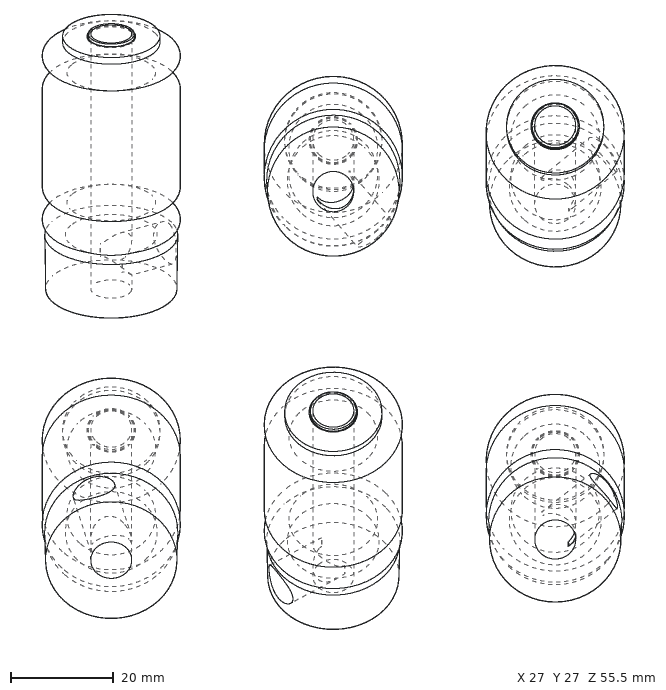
import cadquery as cq
import math

total_height = 55.5
disc_top = 55.05
disc_bottom = 53.6
upper_rib_z = 50.7
upper_neck_z = 47.05
body_top_rib_z = 43.5
body_bottom_rib_z = 22.3
lower_neck_z = 18.8
lower_rib_z = 15.15
sleeve_top = 11.75

outer_diameter = 27.0
neck_diameter = 17.3
disc_diameter = 19.0
tube_diameter = 9.0
recess_diameter = 9.45
bore_diameter = 8.0
sleeve_top_diameter = 26.0
sleeve_bottom_diameter = 25.65
side_hole_diameter = 8.5

rib_round = 1.55
neck_round = 0.5
flank_angle = 24.0
recess_depth = 0.2
side_hole_z = 6.75

outer_radius = outer_diameter / 2
neck_radius = neck_diameter / 2
disc_radius = disc_diameter / 2
flank_sin = math.sin(math.radians(flank_angle))
flank_cos = math.cos(math.radians(flank_angle))


def crest_tangent(crest_z, side):
    """Point where a rib crest meets its flank; side is +1 above, -1 below."""
    return (outer_radius - rib_round * (1 - flank_sin), crest_z + side * rib_round * flank_cos)


def neck_tangent(neck_z, side):
    """Point where a neck fillet meets its flank; side is +1 above, -1 below."""
    return (neck_radius + neck_round * (1 - flank_sin), neck_z + side * neck_round * flank_cos)


def quarter_crest_mid(crest_z, side):
    """Middle of the arc between a crest and its flank."""
    half_sweep = math.radians(90 - flank_angle) / 2
    radius = outer_radius - rib_round * (1 - math.cos(half_sweep))
    return (radius, crest_z + side * rib_round * math.sin(half_sweep))


def rubber_body():
    profile = (
        cq.Workplane("XZ")
        .moveTo(0, sleeve_top)
        .lineTo(neck_tangent(lower_neck_z, 1)[0], sleeve_top)
        .lineTo(*crest_tangent(lower_rib_z, -1))
        .threePointArc((outer_radius, lower_rib_z), crest_tangent(lower_rib_z, 1))
        .lineTo(*neck_tangent(lower_neck_z, -1))
        .threePointArc((neck_radius, lower_neck_z), neck_tangent(lower_neck_z, 1))
        .lineTo(*crest_tangent(body_bottom_rib_z, -1))
        .threePointArc(quarter_crest_mid(body_bottom_rib_z, -1), (outer_radius, body_bottom_rib_z))
        .lineTo(outer_radius, body_top_rib_z)
        .threePointArc(quarter_crest_mid(body_top_rib_z, 1), crest_tangent(body_top_rib_z, 1))
        .lineTo(*neck_tangent(upper_neck_z, -1))
        .threePointArc((neck_radius, upper_neck_z), neck_tangent(upper_neck_z, 1))
        .lineTo(*crest_tangent(upper_rib_z, -1))
        .threePointArc((outer_radius, upper_rib_z), crest_tangent(upper_rib_z, 1))
        .lineTo(disc_radius, disc_bottom)
        .lineTo(disc_radius, disc_top)
        .lineTo(0, disc_top)
        .close()
    )
    return profile.revolve(360, (0, 0, 0), (0, 1, 0))


def sleeve():
    """Slightly tapered base with one side hole on +Y running in to the bore."""
    cone = (
        cq.Workplane("XY")
        .circle(sleeve_bottom_diameter / 2)
        .workplane(offset=sleeve_top)
        .circle(sleeve_top_diameter / 2)
        .loft()
    )
    side_hole = (
        cq.Workplane("XZ", origin=(0, 0, side_hole_z))
        .circle(side_hole_diameter / 2)
        .extrude(-sleeve_top_diameter)
    )
    return cone.cut(side_hole)


def tube_recess():
    return (
        cq.Workplane("XY", origin=(0, 0, disc_top - recess_depth))
        .circle(recess_diameter / 2)
        .extrude(recess_depth)
    )


def tube_end():
    tube_start = disc_top - recess_depth
    return (
        cq.Workplane("XY", origin=(0, 0, tube_start))
        .circle(tube_diameter / 2)
        .extrude(total_height - tube_start)
    )


bore = cq.Workplane("XY").circle(bore_diameter / 2).extrude(total_height)

result = rubber_body().cut(tube_recess()).union(tube_end()).union(sleeve()).cut(bore)